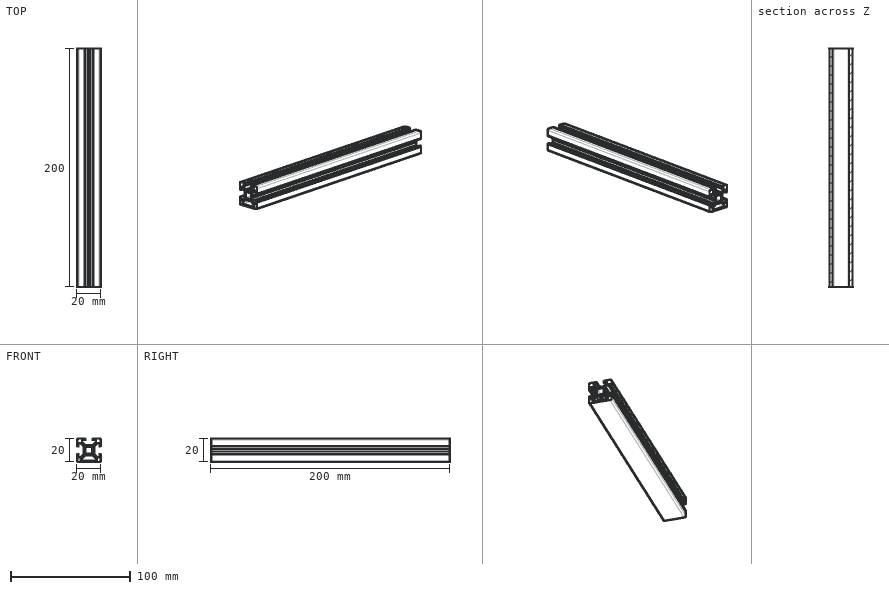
import cadquery as cq

WIDTH = 20.0
LENGTH = 200.0
CORNER_RADIUS = 1.5

CORE_WIDTH = 9.1
BORE_WIDTH = 5.5
BORE_RADIUS = 0.5

WEB_THICKNESS = 1.4

SLOT_WIDTH = 11.6
MOUTH_WIDTH = 6.0
LIP_THICKNESS = 1.3

STEP_DEPTH = 0.6
STEP_LEDGE = 0.55
STEP_LEAN = 0.15

SKIN_THICKNESS = 1.3
CHAMBER_RADIUS = 0.7

GROOVE_WIDTH = 1.8
GROOVE_DEPTH = 0.5

HALF_WIDTH = WIDTH / 2
HALF_CORE = CORE_WIDTH / 2
WEB_OFFSET = WEB_THICKNESS / 2 * 2**0.5

TOP_ANGLE = 0
LEFT_ANGLE = -90
RIGHT_ANGLE = 90
BOTTOM_ANGLE = 180


def turned(prism, angle):
    return prism.rotate((0, 0, 0), (0, 1, 0), angle)


def square_bar(width, radius):
    """Full-length square bar with rounded long edges."""
    return cq.Workplane("XY").box(width, LENGTH, width).edges("|Y").fillet(radius)


def symmetric_prism(right_half):
    """Full-length prism over the top core face, closed below by the round groove.

    The right half of its outline runs upwards and outwards from the core face.
    """
    left_half = [(-x, z) for x, z in reversed(right_half)]
    outline = (
        cq.Workplane("XZ")
        .moveTo(-GROOVE_WIDTH / 2, HALF_CORE)
        .threePointArc((0, HALF_CORE - GROOVE_DEPTH), (GROOVE_WIDTH / 2, HALF_CORE))
    )
    for x, z in right_half + left_half:
        outline = outline.lineTo(x, z)
    return outline.close().extrude(LENGTH / 2, both=True)


def open_slot():
    """T-slot with stepped lips along its mouth."""
    half_slot = SLOT_WIDTH / 2
    half_mouth = MOUTH_WIDTH / 2
    lip_underside = HALF_WIDTH - LIP_THICKNESS
    ledge_height = HALF_WIDTH - STEP_DEPTH
    ledge_end = half_mouth + STEP_LEDGE
    return symmetric_prism(
        [
            (HALF_CORE - WEB_OFFSET, HALF_CORE),
            (half_slot, half_slot + WEB_OFFSET),
            (half_slot, lip_underside),
            (half_mouth, lip_underside),
            (half_mouth, ledge_height),
            (ledge_end, ledge_height),
            (ledge_end + STEP_LEAN, HALF_WIDTH),
        ]
    )


def closed_chamber():
    """Chamber between two webs and the outer skin, rounded where they meet."""
    skin_inside = HALF_WIDTH - SKIN_THICKNESS
    chamber = symmetric_prism(
        [
            (HALF_CORE - WEB_OFFSET, HALF_CORE),
            (skin_inside - WEB_OFFSET, skin_inside),
        ]
    )
    return chamber.faces(">Z").edges("|Y").fillet(CHAMBER_RADIUS)


result = square_bar(WIDTH, CORNER_RADIUS)
result = result.cut(square_bar(BORE_WIDTH, BORE_RADIUS))
for slot_angle in (TOP_ANGLE, LEFT_ANGLE, RIGHT_ANGLE):
    result = result.cut(turned(open_slot(), slot_angle))
result = result.cut(turned(closed_chamber(), BOTTOM_ANGLE))